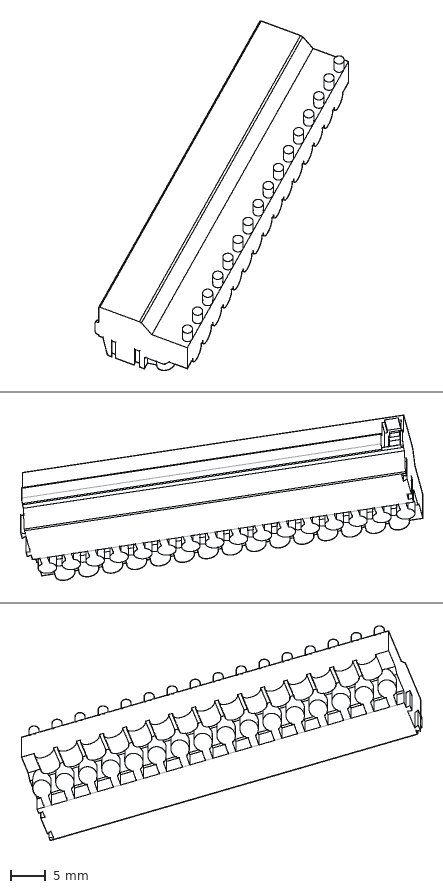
import cadquery as cq

total_length = 56.6
total_width = 14.6
total_height = 11.1
tail_length = 0.6
body_length = total_length - tail_length

lip_depth = 0.55
lip_top = 7.2
lip_slope_width = 0.15
lip_slope_height = 0.35
lip_round = 0.55
lip_bottom = 4.2
shoulder = 3.9
top_chamfer = 0.2
plug_top_left = 1.25
plug_bottom_left = 1.9
plug_right = 7.8
plug_chamfer = 0.15
rear_step = 2.9
rear_step_chamfer = 0.2
rear_slope_start = 11.0
rear_slope_end = 11.7
crest_start = 7.0
crest_width = 0.35
crest_drop = 0.1
deck_start = 9.0
deck = 9.05

contact_count = 16
pitch = 3.5
row_length = (contact_count - 1) * pitch
first_contact = (body_length - row_length) / 2
pin_radius = 0.75
pin_x = total_width - pin_radius

boss_left = 9.1
boss_right = 11.75
boss_radius = (boss_right - boss_left) / 2
boss_x = boss_left + boss_radius
boss_end_height = 1.1
neck_width = 1.15
lug_radius = 1.45
lug_z = 3.7

dovetails = [(2.95, 0.45, 1.15), (6.6, 0.7, 0.9)]
groove_clearance = 0.1

window_near = 0.35
window_far = 3.15
window_middle = (window_near + window_far) / 2
window_floor = 4.9
window_sill = 4.6
window_top = 9.9
window_back = 2.6
sill_run = 0.35
head_width = 2.05
head_height = 0.5
recess_width = 1.45
recess_height = 5.05
niche_width = 1.7
niche_bottom = 6.4
niche_top = 9.1
niche_floor_rise = 0.4
niche_lip_rise = 0.35
niche_lip_run = 0.1
niche_roof_rise = 0.35
recess_depth = 0.3
recess_foot_rise = 0.3
recess_foot_run = 0.3
niche_depth = 0.7


def box(x0, x1, y0, y1, z0, z1):
    return cq.Workplane("XY").box(x1 - x0, y1 - y0, z1 - z0, centered=False).translate((x0, y0, z0))


def extrude_along_y(outline, y0, y1):
    """Extrude a closed XZ outline from y0 to y1."""
    return outline.extrude(y0 - y1).translate((0, y0, 0))


def housing():
    arc_inset = lip_round * (1 - 0.5 ** 0.5)
    outline = (
        cq.Workplane("XZ")
        .moveTo(plug_bottom_left + plug_chamfer, 0)
        .lineTo(plug_right, 0)
        .lineTo(plug_right, rear_step - rear_step_chamfer)
        .lineTo(plug_right + rear_step_chamfer, rear_step)
        .lineTo(rear_slope_start, rear_step)
        .lineTo(rear_slope_end, shoulder)
        .lineTo(total_width, shoulder)
        .lineTo(total_width, deck)
        .lineTo(deck_start, deck)
        .lineTo(crest_start + crest_width, total_height - crest_drop)
        .lineTo(crest_start, total_height)
        .lineTo(lip_depth + top_chamfer, total_height)
        .lineTo(lip_depth, total_height - top_chamfer)
        .lineTo(lip_depth, lip_top)
        .lineTo(lip_slope_width, lip_top)
        .lineTo(0, lip_top - lip_slope_height)
        .lineTo(0, lip_bottom + lip_round)
        .threePointArc((arc_inset, lip_bottom + arc_inset), (lip_round, lip_bottom))
        .lineTo(lip_depth, shoulder)
        .lineTo(plug_top_left, shoulder)
        .lineTo(plug_bottom_left, plug_chamfer)
        .close()
    )
    return extrude_along_y(outline, 0, body_length)


def pin(y):
    return cq.Workplane("XY", origin=(pin_x, y, shoulder)).circle(pin_radius).extrude(total_height - shoulder)


def funnel(y):
    """Sloped-bottom round funnel joined to the plug by a neck."""
    barrel = cq.Workplane("XY").center(boss_x, y).circle(boss_radius).extrude(shoulder)
    neck = box(plug_right, boss_x, y - neck_width / 2, y + neck_width / 2, 0, shoulder)
    below = extrude_along_y(
        cq.Workplane("XZ").polyline([(plug_right, 0), (boss_right, 0), (boss_right, boss_end_height)]).close(),
        y - boss_radius,
        y + boss_radius,
    )
    return barrel.union(neck).cut(below)


def lug(y):
    """Round bar under the overhang, running to the rear face."""
    return (
        cq.Workplane("YZ", origin=(rear_slope_end, y, lug_z))
        .circle(lug_radius)
        .extrude(total_width - rear_slope_end)
    )


def dovetail(x, root_width, tip_width, root_y):
    """Upright dovetail widening from root_y toward +Y."""
    return (
        cq.Workplane("XY")
        .polyline(
            [
                (x - root_width / 2, root_y),
                (x + root_width / 2, root_y),
                (x + tip_width / 2, root_y + tail_length),
                (x - tip_width / 2, root_y + tail_length),
            ]
        )
        .close()
        .extrude(shoulder)
    )


def latch_window():
    """Open pocket through the lip, with a narrower head and a stepped recess in its back wall."""
    opening = extrude_along_y(
        cq.Workplane("XZ")
        .polyline(
            [
                (lip_depth, window_sill),
                (lip_depth + sill_run, window_floor),
                (window_back, window_floor),
                (window_back, window_top),
                (lip_depth, window_top),
            ]
        )
        .close(),
        window_near,
        window_far,
    )
    lip_gap = box(0, lip_depth, window_near, window_far, shoulder, window_top)
    head = box(
        lip_depth,
        window_back,
        window_middle - head_width / 2,
        window_middle + head_width / 2,
        window_top,
        window_top + head_height,
    )
    recess_back = window_back + recess_depth
    recess = extrude_along_y(
        cq.Workplane("XZ")
        .polyline(
            [
                (window_back, window_floor),
                (recess_back + recess_foot_run, window_floor),
                (recess_back, window_floor + recess_foot_rise),
                (recess_back, window_floor + recess_height),
                (window_back, window_floor + recess_height),
            ]
        )
        .close(),
        window_middle - recess_width / 2,
        window_middle + recess_width / 2,
    )
    niche = extrude_along_y(
        cq.Workplane("XZ")
        .polyline(
            [
                (window_back, niche_bottom),
                (recess_back, niche_bottom),
                (window_back + niche_depth - niche_lip_run, niche_bottom + niche_floor_rise),
                (window_back + niche_depth, niche_bottom + niche_floor_rise + niche_lip_rise),
                (window_back + niche_depth, niche_top - niche_roof_rise),
                (recess_back, niche_top),
                (window_back, niche_top),
            ]
        )
        .close(),
        window_middle - niche_width / 2,
        window_middle + niche_width / 2,
    )
    return opening.union(lip_gap).union(head).union(recess).union(niche)


result = housing()
for index in range(contact_count):
    contact_y = first_contact + index * pitch
    result = result.union(pin(contact_y)).union(funnel(contact_y))
for index in range(contact_count - 1):
    result = result.union(lug(first_contact + (index + 0.5) * pitch))
for centre_x, root_width, tip_width in dovetails:
    result = result.union(dovetail(centre_x, root_width, tip_width, body_length))
    result = result.cut(dovetail(centre_x, root_width + groove_clearance, tip_width + groove_clearance, 0))
result = result.cut(latch_window())